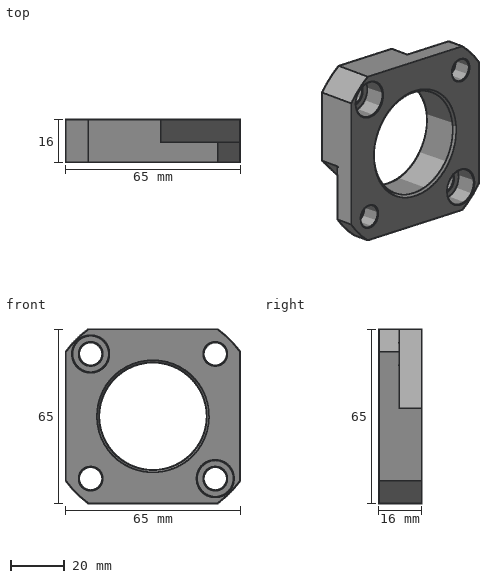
import cadquery as cq
import math

side = 65.0
thickness = 16.0
half = side / 2
edge_half = 24.05
corner_radius = math.hypot(half, edge_half)

bore_diameter = 40.0
bore_chamfer = 0.9

hole_offset = 23.2
hole_diameter = 8.5
counterbore_diameter = 13.5
counterbore_depth = 8.45
hole_chamfer = 0.25

relief_depth = 8.5
relief_start = 3.0

front_y = -thickness / 2
back_y = thickness / 2


def cylinder(x, z, diameter, start_y, length):
    """Cylinder running in +Y from start_y."""
    base = cq.Vector(x, start_y, z)
    return cq.Workplane(cq.Solid.makeCylinder(diameter / 2, length, base, cq.Vector(0, 1, 0)))


def countersink(x, z, diameter, start_y, width, direction=1):
    """45 degree edge break that narrows along Y to the given diameter."""
    radius = diameter / 2
    base = cq.Vector(x, start_y, z)
    axis = cq.Vector(0, direction, 0)
    return cq.Workplane(cq.Solid.makeCone(radius + width, radius, width, base, axis))


def plate():
    square = cq.Workplane("XY").box(side, thickness, side)
    disc = cylinder(0, 0, 2 * corner_radius, front_y, thickness)
    return square.intersect(disc)


def corner_relief(sign):
    """Triangular step in the back face at the (+X, +Z) or (-X, -Z) corner."""
    corners = [(relief_start, half), (half, half), (half, relief_start)]
    outline = [(sign * x, sign * z) for x, z in corners]
    step = cq.Workplane("XZ").polyline(outline).close().extrude(-relief_depth)
    return step.translate((0, back_y - relief_depth, 0))


body = plate()
for sign in (-1, 1):
    body = body.cut(corner_relief(sign))

body = body.cut(cylinder(0, 0, bore_diameter, front_y, thickness))
body = body.cut(countersink(0, 0, bore_diameter, front_y, bore_chamfer))
body = body.cut(countersink(0, 0, bore_diameter, back_y, bore_chamfer, direction=-1))

for x_sign in (-1, 1):
    for z_sign in (-1, 1):
        x = x_sign * hole_offset
        z = z_sign * hole_offset
        seat_y = front_y
        body = body.cut(cylinder(x, z, hole_diameter, front_y, thickness))
        if x_sign != z_sign:
            seat_y = front_y + counterbore_depth
            body = body.cut(cylinder(x, z, counterbore_diameter, front_y, counterbore_depth))
            body = body.cut(countersink(x, z, counterbore_diameter, front_y, hole_chamfer))
        body = body.cut(countersink(x, z, hole_diameter, seat_y, hole_chamfer))

result = body